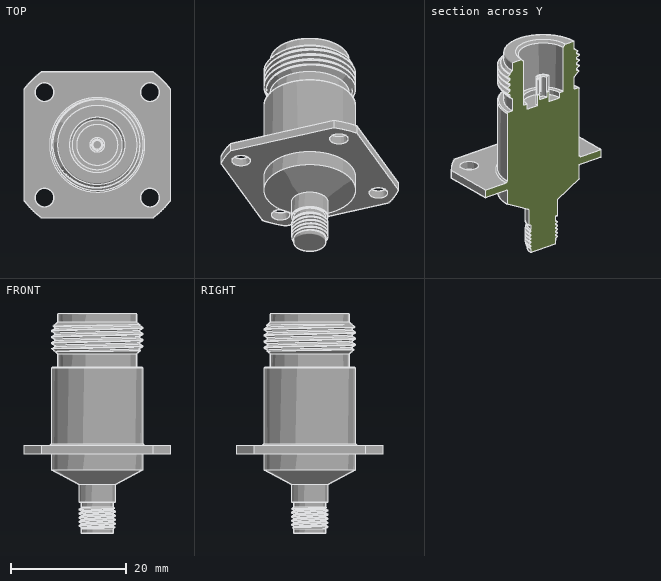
import cadquery as cq
import math


SMALL_BAND_BOTTOM = 0.79
SMALL_BAND_TOP = 4.57
SMALL_BARREL_BOTTOM = 5.36
CONE_BOTTOM = 8.46
CONE_TOP = 11.0
FLANGE_BOTTOM = 13.72
FLANGE_THICKNESS = 1.52
BODY_TOP = 28.8
LARGE_BAND_BOTTOM = 31.08
LARGE_BAND_TOP = 36.58
TOTAL_HEIGHT = 38.1

SMALL_DIAMETER = 6.35
SMALL_NECK_DIAMETER = 5.58
LARGE_DIAMETER = 15.88
LARGE_NECK_DIAMETER = 13.72

EDGE_CHAMFER = 0.2
SMALL_EDGE_CHAMFER = 0.1
TOP_ROUNDING = 0.25
BOTTOM_ROUNDING = 0.15
COLLAR_SIZE = 0.28

FLANGE_SIDE = 25.4
FLANGE_CORNER_DIAMETER = 31.88
HOLE_DIAMETER = 3.2
HOLE_SPACING = 18.26

SMALL_PITCH = 25.4 / 36
LARGE_PITCH = 25.4 / 24
SMALL_CHAMFER_HEIGHT = 0.35
LARGE_CHAMFER_HEIGHT = 0.95
FLANK_ANGLE = math.radians(30)
SEAM_ANGLE = 60

SOCKET_DIAMETER = 8.64
SOCKET_MOUTH_DIAMETER = 9.6
SOCKET_DEPTH = 9.0
RECESS_DIAMETER = 7.11
RECESS_DEPTH = 1.0
CONTACT_DIAMETER = 2.54
CONTACT_BORE_DIAMETER = 1.52
CONTACT_MOUTH_DIAMETER = 1.95
CONTACT_TIP_BELOW_TOP = 5.0
CONTACT_BORE_DEPTH = 4.0
SLOT_WIDTH = 0.14
SLOT_DEPTH = 3.0

flange_top = FLANGE_BOTTOM + FLANGE_THICKNESS


def revolve(points):
    """Turn a closed (radius, height) outline about the Z axis."""
    return cq.Workplane("XZ").polyline(points).close().revolve(360, (0, 0, 0), (0, 1, 0))


def make_body():
    """Turned outside, with both thread bands still plain."""
    small = SMALL_DIAMETER / 2
    small_neck = SMALL_NECK_DIAMETER / 2
    large = LARGE_DIAMETER / 2
    large_neck = LARGE_NECK_DIAMETER / 2
    body = revolve([
        (0, 0),
        (small_neck, 0),
        (small_neck, SMALL_BAND_BOTTOM),
        (small, SMALL_BAND_BOTTOM + SMALL_CHAMFER_HEIGHT),
        (small, SMALL_BAND_TOP - SMALL_CHAMFER_HEIGHT),
        (small_neck, SMALL_BAND_TOP),
        (small_neck, SMALL_BARREL_BOTTOM),
        (small - SMALL_EDGE_CHAMFER, SMALL_BARREL_BOTTOM),
        (small, SMALL_BARREL_BOTTOM + SMALL_EDGE_CHAMFER),
        (small, CONE_BOTTOM),
        (large, CONE_TOP),
        (large, flange_top),
        (large + COLLAR_SIZE, flange_top),
        (large, flange_top + COLLAR_SIZE),
        (large, BODY_TOP - EDGE_CHAMFER),
        (large - EDGE_CHAMFER, BODY_TOP),
        (large_neck, BODY_TOP),
        (large_neck, LARGE_BAND_BOTTOM),
        (large, LARGE_BAND_BOTTOM + LARGE_CHAMFER_HEIGHT),
        (large, LARGE_BAND_TOP - LARGE_CHAMFER_HEIGHT),
        (large_neck, LARGE_BAND_TOP),
        (large_neck, TOTAL_HEIGHT),
        (0, TOTAL_HEIGHT),
    ])
    body = body.faces(">Z").edges().fillet(TOP_ROUNDING)
    return body.faces("<Z").edges().fillet(BOTTOM_ROUNDING)


def make_flange():
    """Square plate with corners turned to a circle and four screw holes."""
    plate = cq.Workplane("XY", origin=(0, 0, FLANGE_BOTTOM))
    square = plate.rect(FLANGE_SIDE, FLANGE_SIDE).extrude(FLANGE_THICKNESS)
    disc = plate.circle(FLANGE_CORNER_DIAMETER / 2).extrude(FLANGE_THICKNESS)
    holes = (
        plate.rect(HOLE_SPACING, HOLE_SPACING, forConstruction=True)
        .vertices()
        .circle(HOLE_DIAMETER / 2)
        .extrude(FLANGE_THICKNESS)
    )
    return square.intersect(disc).cut(holes)


def make_thread_groove(diameter, pitch, bottom, top):
    """Right-hand 60 degree V groove, running out past both ends of a thread band."""
    flank_slope = math.tan(FLANK_ANGLE)
    thread_depth = 5 / 8 * pitch * math.cos(FLANK_ANGLE)
    run_out = pitch / 4
    root_radius = diameter / 2 - thread_depth
    outer_radius = diameter / 2 + pitch / 16
    root_half_width = pitch / 8
    outer_half_width = root_half_width + (outer_radius - root_radius) * flank_slope
    start = bottom - run_out
    helix = cq.Wire.makeHelix(pitch, top - bottom + 2 * run_out, root_radius, cq.Vector(0, 0, start))
    return (
        cq.Workplane("XZ")
        .polyline([
            (root_radius, start - root_half_width),
            (outer_radius, start - outer_half_width),
            (outer_radius, start + outer_half_width),
            (root_radius, start + root_half_width),
        ])
        .close()
        .sweep(cq.Workplane(obj=helix), isFrenet=True)
    )


def make_socket():
    """Stepped bore in the top end, with a chamfered mouth."""
    bore = SOCKET_DIAMETER / 2
    mouth = SOCKET_MOUTH_DIAMETER / 2
    recess = RECESS_DIAMETER / 2
    floor = TOTAL_HEIGHT - SOCKET_DEPTH
    return revolve([
        (0, floor - RECESS_DEPTH),
        (recess, floor - RECESS_DEPTH),
        (recess, floor),
        (bore, floor),
        (bore, TOTAL_HEIGHT - (mouth - bore)),
        (mouth, TOTAL_HEIGHT),
        (0, TOTAL_HEIGHT),
    ])


def make_contact():
    """Hollow centre contact, split by two crossing slots."""
    tip = TOTAL_HEIGHT - CONTACT_TIP_BELOW_TOP
    foot = TOTAL_HEIGHT - SOCKET_DEPTH - RECESS_DEPTH
    outer = CONTACT_DIAMETER / 2
    bore = CONTACT_BORE_DIAMETER / 2
    mouth = CONTACT_MOUTH_DIAMETER / 2
    contact = revolve([
        (0, foot),
        (outer, foot),
        (outer, tip),
        (mouth, tip),
        (bore, tip - (mouth - bore)),
        (bore, tip - CONTACT_BORE_DEPTH),
        (0, tip - CONTACT_BORE_DEPTH),
    ])
    slot_plane = cq.Workplane("XY", origin=(0, 0, tip - SLOT_DEPTH))
    for length_x, length_y in [(CONTACT_DIAMETER, SLOT_WIDTH), (SLOT_WIDTH, CONTACT_DIAMETER)]:
        contact = contact.cut(slot_plane.rect(length_x, length_y).extrude(SLOT_DEPTH))
    return contact


small_groove = make_thread_groove(SMALL_DIAMETER, SMALL_PITCH, SMALL_BAND_BOTTOM, SMALL_BAND_TOP)
large_groove = make_thread_groove(LARGE_DIAMETER, LARGE_PITCH, LARGE_BAND_BOTTOM, LARGE_BAND_TOP)

result = (
    make_body()
    .rotate((0, 0, 0), (0, 0, 1), SEAM_ANGLE)
    .cut(small_groove)
    .cut(large_groove)
    .union(make_flange())
    .cut(make_socket())
    .union(make_contact())
    .solids()
)